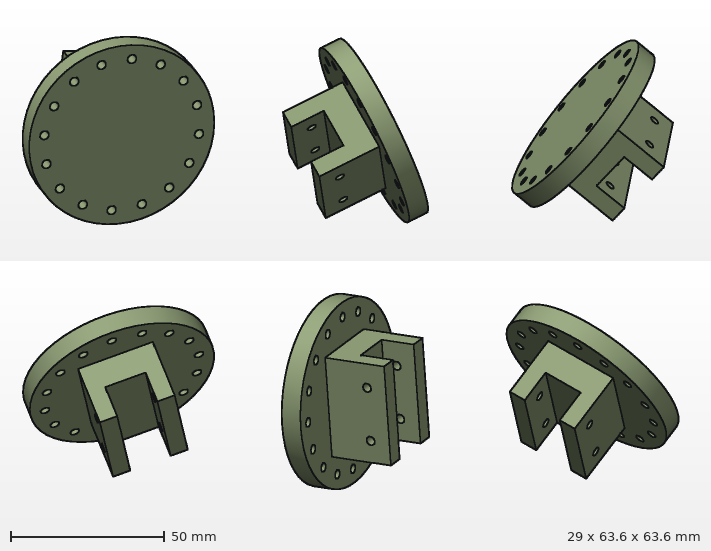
import cadquery as cq

flange_diameter = 63.6
flange_thickness = 7.0
bolt_circle_diameter = 53.55
bolt_hole_count = 16

bracket_length = 22.0
bracket_width = 26.0
bracket_height = 35.0
slot_width = 14.0
slot_depth = 11.95

pin_hole_from_tip = 7.0
pin_hole_spacing = 18.75
pin_hole_offset = -0.4

hole_diameter = 3.0
tilt_angle = -7.5

tip_x = -bracket_length


def make_flange():
    """Disc with a ring of through holes, the first one straight above the axis."""
    disc = cq.Workplane("YZ").circle(flange_diameter / 2).extrude(flange_thickness)
    bolt_holes = (
        cq.Workplane("YZ")
        .polarArray(bolt_circle_diameter / 2, 90, 360, bolt_hole_count)
        .circle(hole_diameter / 2)
        .extrude(flange_thickness)
    )
    return disc.cut(bolt_holes)


def make_bracket():
    """Block with a full-height slot and two pin holes crossing its walls."""
    block = cq.Workplane("XY").box(
        bracket_length, bracket_width, bracket_height, centered=(False, True, True)
    ).translate((tip_x, 0, 0))
    slot = cq.Workplane("XY").box(
        slot_depth, slot_width, bracket_height, centered=(False, True, True)
    ).translate((tip_x, 0, 0))
    pin_hole_x = tip_x + pin_hole_from_tip
    pin_holes = (
        cq.Workplane("XZ")
        .pushPoints([
            (pin_hole_x, pin_hole_offset + side * pin_hole_spacing / 2)
            for side in (-1, 1)
        ])
        .circle(hole_diameter / 2)
        .extrude(bracket_width / 2, both=True)
    )
    return block.cut(slot).cut(pin_holes)


def tilt(body):
    """Turn a body about the flange axis."""
    return body.rotate((0, 0, 0), (1, 0, 0), tilt_angle)


flange = tilt(make_flange())
bracket = tilt(make_bracket())

result = cq.Compound.makeCompound([flange.val(), bracket.val()])